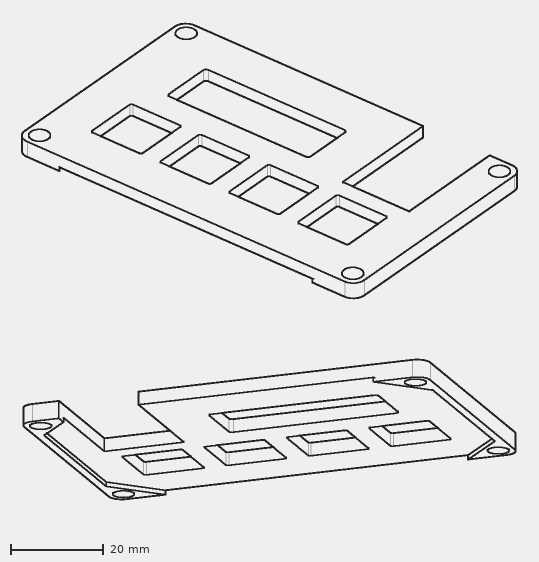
import cadquery as cq

PLATE_LENGTH = 93.96
PLATE_WIDTH = 58.24
PLATE_THICKNESS = 4.0
CORNER_RADIUS = 3.0

HOLE_DIAMETER = 4.7
HOLE_INSET = 3.6

KEY_COUNT = 4
KEY_SIZE = 14.0
KEY_PITCH = 19.05
KEY_ROW_Y = -10.5
KEY_RADIUS = 0.5

WINDOW_LENGTH = 39.2
WINDOW_WIDTH = 13.4
WINDOW_X = -11.9
WINDOW_Y = 10.6
WINDOW_RADIUS = 0.8

NOTCH_LEFT_X = 19.4
NOTCH_LENGTH = 18.4
NOTCH_FLOOR_Y = 1.1

RECESS_DEPTH = 1.0
PAD_LEG = 12.0
RIM_WIDTH = 2.0


def make_plate():
    """Flat plate on Z = 0 with rounded vertical corners."""
    plate = cq.Workplane("XY").box(
        PLATE_LENGTH, PLATE_WIDTH, PLATE_THICKNESS, centered=(True, True, False)
    )
    return plate.edges("|Z").fillet(CORNER_RADIUS)


def rounded_opening(x, y, length, width, radius):
    """Cutter through the plate thickness, centred at (x, y)."""
    cutter = cq.Workplane("XY").box(
        length, width, PLATE_THICKNESS, centered=(True, True, False)
    )
    return cutter.edges("|Z").fillet(radius).translate((x, y, 0))


def cut_mounting_holes(plate):
    spacing_x = PLATE_LENGTH - 2 * HOLE_INSET
    spacing_y = PLATE_WIDTH - 2 * HOLE_INSET
    holes = (
        cq.Workplane("XY")
        .rect(spacing_x, spacing_y, forConstruction=True)
        .vertices()
        .circle(HOLE_DIAMETER / 2)
        .extrude(PLATE_THICKNESS)
    )
    return plate.cut(holes)


def cut_key_openings(plate):
    first_x = -KEY_PITCH * (KEY_COUNT - 1) / 2
    for index in range(KEY_COUNT):
        key_x = first_x + index * KEY_PITCH
        plate = plate.cut(rounded_opening(key_x, KEY_ROW_Y, KEY_SIZE, KEY_SIZE, KEY_RADIUS))
    return plate


def cut_display_window(plate):
    window = rounded_opening(WINDOW_X, WINDOW_Y, WINDOW_LENGTH, WINDOW_WIDTH, WINDOW_RADIUS)
    return plate.cut(window)


def cut_notch(plate):
    notch_width = PLATE_WIDTH / 2 - NOTCH_FLOOR_Y
    notch = cq.Workplane("XY").box(
        NOTCH_LENGTH, notch_width, PLATE_THICKNESS, centered=False
    )
    return plate.cut(notch.translate((NOTCH_LEFT_X, NOTCH_FLOOR_Y, 0)))


def cut_underside_recess(plate):
    """Octagonal recess whose 45-degree sides face the four corner pads."""
    pad_cut = PAD_LEG - RIM_WIDTH
    recess = (
        cq.Workplane("XY")
        .box(PLATE_LENGTH - 2 * RIM_WIDTH, PLATE_WIDTH, RECESS_DEPTH, centered=(True, True, False))
        .edges("|Z")
        .chamfer(pad_cut)
    )
    return plate.cut(recess)


result = make_plate()
result = cut_mounting_holes(result)
result = cut_key_openings(result)
result = cut_display_window(result)
result = cut_notch(result)
result = cut_underside_recess(result)